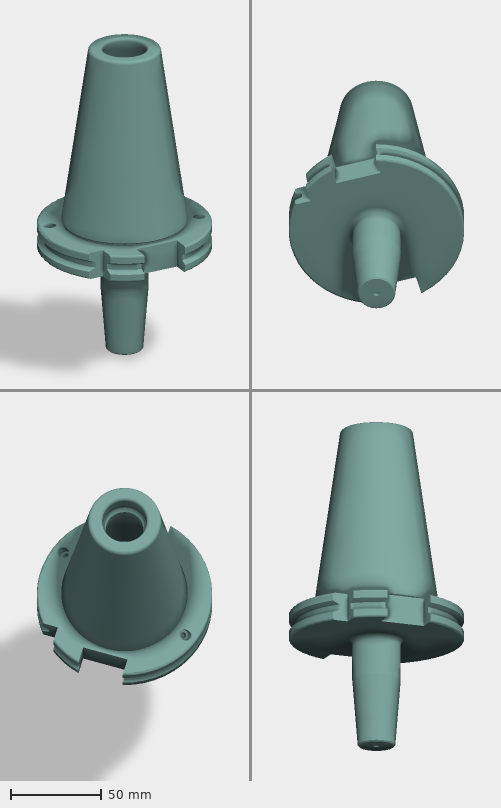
import cadquery as cq
import math


cut_clearance = 1.8

total_height = 181.8
gauge_height = 80.0
flange_top = 76.7
flange_bottom = 60.9
nose_cone_height = 38.0

gauge_radius = 34.9
taper_slope = 7 / 48
taper_top_radius = gauge_radius - (total_height - gauge_height) * taper_slope
taper_top_fillet = 2.0
taper_base_height = 78.3
taper_base_radius = gauge_radius + (gauge_height - taper_base_height) * taper_slope
neck_radius = 34.5

flange_radius = 48.7
flange_fillet = 1.3
groove_radius = 45.6
groove_center = 68.7
groove_floor_width = 3.0
groove_wall_angle = 30

nose_radius = 13.5
nose_angle = 4.5
nose_tip_radius = nose_radius - nose_cone_height * math.tan(math.radians(nose_angle))
nose_tip_chamfer = 0.7
nose_root_fillet = 2.9

slot_width = 25.6
slot_left_face = -35.3
slot_right_face = 37.5
notch_corner = 29.8

bore_radius = 12.4
bore_depth = 9.0
bore_mouth_fillet = 1.6
recess_radius = 12.7
recess_depth = 11.0
thread_radius = 10.5
thread_chamfer_depth = 2.0
thread_depth = 54.5
drill_point_angle = 118
channel_radius = 2.5
channel_depth = 109.0
through_radius = 1.6

port_x = 14.2
port_y = 39.5
port_tilt = 30
port_radius = 3.0
port_depth = 2.7
port_core_radius = 1.6
port_core_depth = 5.5


def make_body():
    """Revolved taper, neck, flange and nose."""
    profile = (
        cq.Workplane("XZ")
        .moveTo(0, 0)
        .lineTo(nose_tip_radius - nose_tip_chamfer, 0)
        .lineTo(nose_tip_radius, nose_tip_chamfer)
        .lineTo(nose_radius, nose_cone_height)
        .lineTo(nose_radius, flange_bottom - nose_root_fillet)
        .radiusArc((nose_radius + nose_root_fillet, flange_bottom), nose_root_fillet)
        .lineTo(flange_radius - flange_fillet, flange_bottom)
        .radiusArc((flange_radius, flange_bottom + flange_fillet), -flange_fillet)
        .lineTo(flange_radius, flange_top - flange_fillet)
        .radiusArc((flange_radius - flange_fillet, flange_top), -flange_fillet)
        .lineTo(neck_radius, flange_top)
        .lineTo(neck_radius, taper_base_height - (taper_base_radius - neck_radius))
        .lineTo(taper_base_radius, taper_base_height)
        .lineTo(taper_top_radius, total_height)
        .lineTo(0, total_height)
        .close()
    )
    body = profile.revolve(360, (0, 0), (0, 1))
    return body.faces(">Z").edges().fillet(taper_top_fillet)


def make_groove():
    """V-shaped ring around the flange rim."""
    half_floor = groove_floor_width / 2
    groove_depth = flange_radius - groove_radius
    half_mouth = half_floor + groove_depth * math.tan(math.radians(groove_wall_angle))
    clear_radius = flange_radius + cut_clearance
    return (
        cq.Workplane("XZ")
        .moveTo(groove_radius, groove_center - half_floor)
        .lineTo(flange_radius, groove_center - half_mouth)
        .lineTo(clear_radius, groove_center - half_mouth)
        .lineTo(clear_radius, groove_center + half_mouth)
        .lineTo(flange_radius, groove_center + half_mouth)
        .lineTo(groove_radius, groove_center + half_floor)
        .close()
        .revolve(360, (0, 0), (0, 1))
    )


def flange_block(x_min, x_max, y_min, y_max):
    """Box through the full flange thickness."""
    return (
        cq.Workplane("XY", origin=(0, 0, flange_bottom))
        .moveTo(x_min, y_min)
        .lineTo(x_max, y_min)
        .lineTo(x_max, y_max)
        .lineTo(x_min, y_max)
        .close()
        .extrude(flange_top - flange_bottom)
    )


def make_bore():
    """Stepped pull-stud bore with a drill point and a channel through the nose."""
    bore_floor = total_height - bore_depth
    recess_floor = total_height - recess_depth
    thread_floor = total_height - thread_depth
    drill_slope = math.tan(math.radians(drill_point_angle / 2))
    channel_top = thread_floor - (thread_radius - channel_radius) / drill_slope
    channel_floor = total_height - channel_depth
    return (
        cq.Workplane("XZ")
        .moveTo(0, 0)
        .lineTo(through_radius, 0)
        .lineTo(through_radius, channel_floor)
        .lineTo(channel_radius, channel_floor)
        .lineTo(channel_radius, channel_top)
        .lineTo(thread_radius, thread_floor)
        .lineTo(thread_radius, recess_floor - thread_chamfer_depth)
        .lineTo(recess_radius, recess_floor)
        .lineTo(recess_radius, bore_floor)
        .lineTo(bore_radius, bore_floor)
        .lineTo(bore_radius, total_height - bore_mouth_fillet)
        .radiusArc((bore_radius + bore_mouth_fillet, total_height), bore_mouth_fillet)
        .lineTo(0, total_height)
        .close()
        .revolve(360, (0, 0), (0, 1))
    )


def make_port():
    """Stepped coolant port, leaning outwards from the holder axis."""
    center_radius = math.hypot(port_x, port_y)
    lean = math.sin(math.radians(port_tilt))
    outward = cq.Vector(lean * port_x / center_radius, lean * port_y / center_radius,
                        math.cos(math.radians(port_tilt)))
    mouth = cq.Vector(port_x, port_y, flange_top)
    clearance = 2 * port_radius
    start = mouth + outward * clearance
    wide = cq.Solid.makeCylinder(port_radius, clearance + port_depth, start, outward * -1)
    core = cq.Solid.makeCylinder(port_core_radius, clearance + port_core_depth, start, outward * -1)
    return cq.Workplane(obj=wide.fuse(core))


result = make_body().cut(make_groove()).cut(make_bore())

outside = flange_radius + cut_clearance
half_slot = slot_width / 2
result = result.cut(flange_block(-outside, slot_left_face, -half_slot, half_slot))
result = result.cut(flange_block(slot_right_face, outside, -half_slot, half_slot))
result = result.cut(flange_block(notch_corner, outside, -outside, -notch_corner))

port = make_port()
for angle in (0, 180):
    result = result.cut(port.rotate((0, 0, 0), (0, 0, 1), angle))